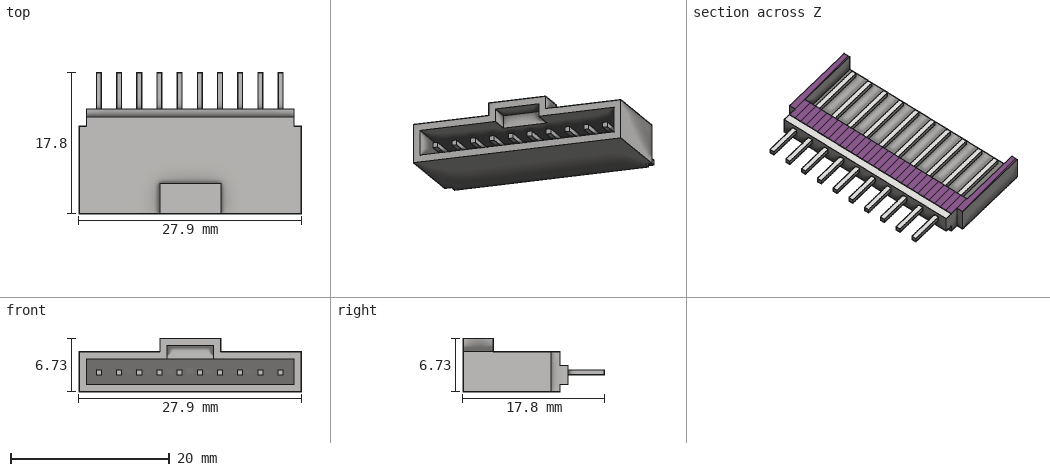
import cadquery as cq

HOUSING_WIDTH = 27.94
HOUSING_HEIGHT = 5.08
SHROUD_LENGTH = 11.05
WALL = 0.914
CAVITY_WIDTH = HOUSING_WIDTH - 2 * WALL
CAVITY_DEPTH = 9.0

REAR_BLOCK_END = 12.19
REAR_WIDTH = CAVITY_WIDTH
RIB_END = 13.21
RIB_BOTTOM = 0.93
RIB_TOP = 3.35

KEY_WIDTH = 7.68
KEY_LENGTH = 3.81
OVERALL_HEIGHT = 6.73

PIN_COUNT = 10
PIN_PITCH = 2.54
PIN_SIZE = 0.635
PIN_AXIS_Z = 2.46
PIN_ROW_CENTER_X = -0.07
PIN_FRONT = 1.27
PIN_REAR = 17.78


def block(width, y_start, y_end, z_bottom, z_top, x_center=0.0):
    """Box centred on x_center, spanning the given Y and Z ranges."""
    size_y = y_end - y_start
    size_z = z_top - z_bottom
    box = cq.Workplane("XY").box(width, size_y, size_z, centered=(True, False, False))
    return box.translate((x_center, y_start, z_bottom))


def make_housing():
    """Solid envelope of the shroud, key, rear block and rib."""
    shroud = block(HOUSING_WIDTH, 0, SHROUD_LENGTH, 0, HOUSING_HEIGHT)
    rear_block = block(REAR_WIDTH, 0, REAR_BLOCK_END, 0, HOUSING_HEIGHT)
    rib = block(REAR_WIDTH, 0, RIB_END, RIB_BOTTOM, RIB_TOP)
    key = block(KEY_WIDTH, 0, KEY_LENGTH, 0, OVERALL_HEIGHT)
    return shroud.union(rear_block).union(rib).union(key)


def make_cavity():
    """Pocket open at the mouth, with the key's recess above it."""
    main_pocket = block(CAVITY_WIDTH, 0, CAVITY_DEPTH, WALL, HOUSING_HEIGHT - WALL)
    key_recess = block(KEY_WIDTH - 2 * WALL, 0, KEY_LENGTH - WALL, WALL, OVERALL_HEIGHT - WALL)
    return main_pocket.union(key_recess)


def add_pins(body):
    """Join the evenly spaced pins to the housing."""
    first_x = PIN_ROW_CENTER_X - (PIN_COUNT - 1) * PIN_PITCH / 2
    half = PIN_SIZE / 2
    for index in range(PIN_COUNT):
        pin_x = first_x + index * PIN_PITCH
        pin = block(PIN_SIZE, PIN_FRONT, PIN_REAR, PIN_AXIS_Z - half, PIN_AXIS_Z + half, pin_x)
        body = body.union(pin)
    return body


result = add_pins(make_housing().cut(make_cavity()))